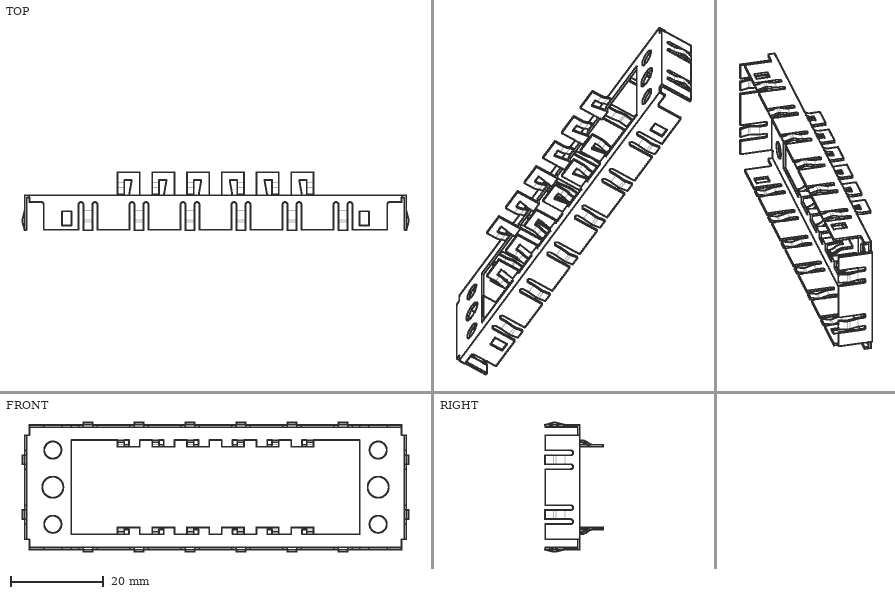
import cadquery as cq
import math

sheet = 0.5
frame_length = 82.2
frame_height = 26.9
flange_depth = 7.5
bend_strip_depth = 1.5

plate_half_length = 40.1
opening_length = 62.1
opening_height = 20.2
hole_x = 35.0
small_hole_diameter = 3.7
small_hole_z = 8.0
large_hole_diameter = 4.5

long_flange_length = 74.05
long_flange_fillet = 0.5
side_flange_height = 22.5
window_x = 32.0
window_width = 2.0
window_depth = 3.0
window_center_y = -5.0

finger_width = 2.0
slot_width = 1.0
long_finger_spacing = 11.0
long_finger_count = 6
long_finger_middle = (long_finger_count - 1) / 2
long_finger_positions = [
    long_finger_spacing * (index - long_finger_middle) for index in range(long_finger_count)
]
side_finger_positions = [-5.9, 5.9]
bow_start_y = -3.25
bow_rise_run = 2.0
bow_flat_run = 0.5
bow_fall_run = 1.8
bow_height = 0.5

tab_spacing = 7.5
tabs_per_half = 3
tab_positions = [tab_spacing * (index + 0.5) for index in range(tabs_per_half)]
tab_width = 4.8
tab_depth = 5.0
tab_inner_z = 8.65
tab_stem_width = 2.3
hook_width = 1.5
tab_gap_depth = 3.25
tab_gap_end_width = 1.6
hook_bend_start_y = 2.8
hook_tip_y = 0.2
hook_rise = 1.0

half_length = frame_length / 2
half_height = frame_height / 2
finger_root_y = -bend_strip_depth


def box(x_range, y_range, z_range):
    """Axis-aligned box between pairs of limits."""
    size = [high - low for low, high in (x_range, y_range, z_range)]
    corner = (x_range[0], y_range[0], z_range[0])
    return cq.Workplane("XY").box(*size, centered=False).translate(corner)


def centered(length, center=0):
    """Limits of a span about its center."""
    return center - length / 2, center + length / 2


def base_plate():
    """Perforated plate with notched corners, a large opening and six holes."""
    plate = box(centered(2 * plate_half_length), (-sheet, 0), centered(frame_height))
    plate = plate.union(box(centered(frame_length), (-sheet, 0), centered(side_flange_height)))
    plate = plate.cut(box(centered(opening_length), (-sheet, 0), centered(opening_height)))
    small_centers = [(x, z) for x in (-hole_x, hole_x) for z in (-small_hole_z, small_hole_z)]
    large_centers = [(-hole_x, 0), (hole_x, 0)]
    for centers, diameter in ((small_centers, small_hole_diameter), (large_centers, large_hole_diameter)):
        holes = cq.Workplane("XZ").pushPoints(centers).circle(diameter / 2).extrude(sheet)
        plate = plate.cut(holes)
    return plate


def finger_clearance(position):
    """Two round-ended slots and the flat finger end that the bow replaces, 0 <= z <= sheet."""
    inner_edge = finger_width / 2
    clearance = box(centered(finger_width, position), (-flange_depth, bow_start_y), (0, sheet))
    slot_radius = slot_width / 2
    slot_end_y = finger_root_y - slot_radius
    for side in (-1, 1):
        center = position + side * (inner_edge + slot_radius)
        slot = box(centered(slot_width, center), (-flange_depth, slot_end_y), (0, sheet))
        slot_end = cq.Workplane("XY").center(center, slot_end_y).circle(slot_radius).extrude(sheet)
        clearance = clearance.union(slot).union(slot_end)
    return clearance


def bowed_finger(position):
    """Finger end bent outward into a shallow ridge, then back to the flange level."""
    crest_start_y = bow_start_y - bow_rise_run
    crest_end_y = crest_start_y - bow_flat_run
    tip_y = crest_end_y - bow_fall_run
    rise_angle = math.atan2(bow_height, bow_rise_run)
    fall_angle = math.atan2(bow_height, bow_fall_run)
    rise_shift = sheet * math.tan(rise_angle / 2)
    fall_shift = sheet * math.tan(fall_angle / 2)
    crest_z = sheet + bow_height
    outline = [
        (bow_start_y, 0),
        (bow_start_y, sheet),
        (crest_start_y, crest_z),
        (crest_end_y, crest_z),
        (tip_y, sheet),
        (tip_y + sheet * math.sin(fall_angle), sheet - sheet * math.cos(fall_angle)),
        (crest_end_y + fall_shift, bow_height),
        (crest_start_y - rise_shift, bow_height),
        (bow_start_y - rise_shift, 0),
    ]
    profile = cq.Workplane("YZ", origin=(position - finger_width / 2, 0, 0)).polyline(outline).close()
    return profile.extrude(finger_width)


def add_fingers(flange, positions):
    """Replace the flange material at each position with a bowed finger."""
    for position in positions:
        flange = flange.cut(finger_clearance(position)).union(bowed_finger(position))
    return flange


def long_flange():
    """Flange along the top edge, lying on 0 <= z <= sheet."""
    strip = box(centered(2 * plate_half_length), (finger_root_y, 0), (0, sheet))
    flange = strip.union(box(centered(long_flange_length), (-flange_depth, 0), (0, sheet)))
    for corner_x in centered(long_flange_length):
        corner = cq.selectors.NearestToPointSelector((corner_x, finger_root_y, sheet / 2))
        flange = flange.edges(corner).fillet(long_flange_fillet)
    for x in (-window_x, window_x):
        window = box(centered(window_width, x), centered(window_depth, window_center_y), (0, sheet))
        flange = flange.cut(window)
    return add_fingers(flange, long_finger_positions)


def side_flange():
    """End flange modelled flat on 0 <= z <= sheet, its height along X."""
    flange = box(centered(side_flange_height), (-flange_depth, 0), (0, sheet))
    return add_fingers(flange, side_finger_positions)


def hook():
    """Free arm of a tab, joggled outward by two equal tangent arcs, 0 <= x <= hook_width."""
    run = (hook_bend_start_y - hook_tip_y) / 2
    angle = 2 * math.atan2(hook_rise / 2, run)
    radius = run / math.sin(angle)
    lower_center = (hook_bend_start_y, sheet / 2 + radius)
    upper_center = (hook_tip_y, sheet / 2 + hook_rise - radius)

    def lower_arc(offset, turn):
        reach = radius + offset
        return lower_center[0] - reach * math.sin(turn), lower_center[1] - reach * math.cos(turn)

    def upper_arc(offset, turn):
        reach = radius + offset
        return upper_center[0] + reach * math.sin(turn), upper_center[1] + reach * math.cos(turn)

    half = sheet / 2
    outline = (
        cq.Workplane("YZ")
        .moveTo(tab_gap_depth, 0)
        .lineTo(*lower_arc(half, 0))
        .threePointArc(lower_arc(half, angle / 2), lower_arc(half, angle))
        .threePointArc(upper_arc(-half, angle / 2), upper_arc(-half, 0))
        .lineTo(*upper_arc(half, 0))
        .threePointArc(upper_arc(half, angle / 2), upper_arc(half, angle))
        .threePointArc(lower_arc(-half, angle / 2), lower_arc(-half, 0))
        .lineTo(tab_gap_depth, sheet)
        .close()
    )
    return outline.extrude(hook_width)


def hooked_tab():
    """J-shaped tab with its hook at low x, the inner face on z = 0 and a stem to the plate."""
    stem_x = tab_width - tab_stem_width
    leaf = (
        cq.Workplane("XY")
        .polyline([
            (0, tab_depth),
            (tab_width, tab_depth),
            (tab_width, -sheet),
            (stem_x, -sheet),
            (stem_x, 0),
            (hook_width + tab_gap_end_width, tab_gap_depth),
            (0, tab_gap_depth),
        ])
        .close()
        .extrude(sheet)
    )
    stem = box((stem_x, tab_width), (-sheet, 0), (0, opening_height / 2 - tab_inner_z))
    return leaf.union(stem).union(hook())


top_flange = long_flange().translate((0, 0, half_height - sheet))
right_flange = side_flange().translate((0, 0, half_length - sheet)).rotate((0, 0, 0), (0, 1, 0), 90)

result = base_plate()
result = result.union(top_flange).union(top_flange.mirror("XY"))
result = result.union(right_flange).union(right_flange.mirror("YZ"))

tab = hooked_tab()
for distance in tab_positions:
    left_tab = tab.translate((-distance - tab_width / 2, 0, tab_inner_z))
    right_tab = left_tab.mirror("YZ")
    for top_tab in (left_tab, right_tab):
        result = result.union(top_tab).union(top_tab.mirror("XY"))